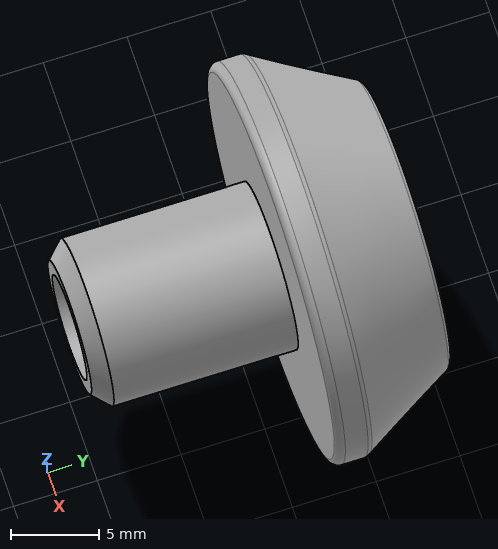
import cadquery as cq
import math

head_diameter = 24.0
head_height = 8.0
rim_height = 2.0
cone_half_angle = 30.0
edge_radius = 0.5
shaft_diameter = 10.0
shaft_length = 12.0
tip_chamfer = 1.0
bore_diameter = 6.26

head_radius = head_diameter / 2
shaft_radius = shaft_diameter / 2
cone_height = head_height - rim_height
top_radius = head_radius - cone_height * math.tan(math.radians(cone_half_angle))


def make_head():
    """Conical head on a short cylindrical rim, with every outer edge rounded."""
    profile = [
        (0, 0),
        (head_radius, 0),
        (head_radius, rim_height),
        (top_radius, head_height),
        (0, head_height),
    ]
    head = cq.Workplane("XY").polyline(profile).close().revolve(360, (0, 0), (0, 1))
    return head.edges("%CIRCLE").fillet(edge_radius)


def make_shaft():
    """Shaft pointing towards -Y with a chamfered tip."""
    shaft = cq.Workplane("XZ").circle(shaft_radius).extrude(shaft_length)
    return shaft.faces("<Y").edges().chamfer(tip_chamfer)


def make_bore():
    """Through bore along the whole axis."""
    start = cq.Workplane("XZ", origin=(0, head_height, 0))
    return start.circle(bore_diameter / 2).extrude(head_height + shaft_length)


result = make_head().union(make_shaft()).cut(make_bore())